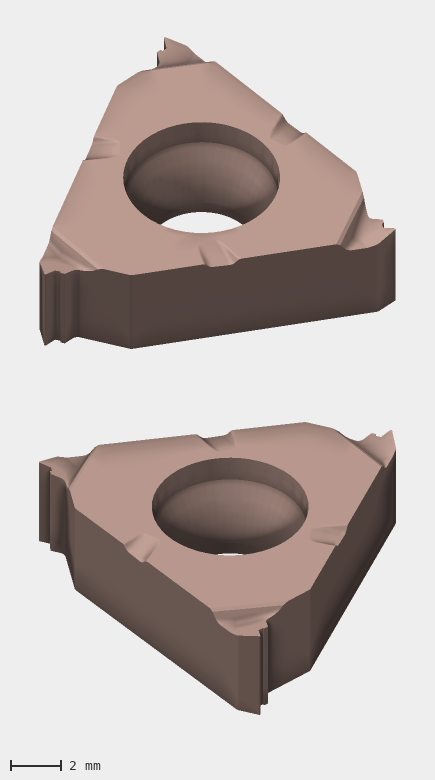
import cadquery as cq
import math

CORNERS = 3
CORNER_STEP = 360 / CORNERS
SIDE_TURN = 30.0
THICKNESS = 4.11
INSCRIBED_RADIUS = 4.76
CLEAR = 1.41

FLANK_ANGLE = 60.0
TIP = (-4.27, -6.95)
TIP_RADIUS = 0.049
VALLEY_Y = -6.48
CREST_Y = -6.56
CREST_START_X = -3.76
CREST_END_X = -3.56
RELIEF_Y = -6.05
CREST_RADIUS = 0.04
ROOT_RADIUS = 0.32
BODY_CORNER_RADIUS = 0.28

BORE_RADIUS = 4.4 / 2
MOUTH_RADIUS = 3.1
SHOULDER_RADIUS = 3.01
SHOULDER_DEPTH = 1.03
SEAT_RADIUS = 2.9
SEAT_DEPTH = 1.25
SEAT_END_DEPTH = 3.59

RAKE_ANGLE = 15.0
TIP_DEPTH = 0.13
EDGE_FLOOR_DEPTH = 0.46
EDGE_FLOOR_ANGLE = 7.4
WALL_DISTANCE = 6.25
WALL_LEAD_WIDTH = 0.14
WALL_LEAD_DEPTH = 0.08
WALL_ANGLE = 57.0
WALL_SKEW = 1.5
FLOOR_RADIUS = 0.28

NOTCH_ANGLE = 15.0
NOTCH_Y = 0.23
NOTCH_DEPTH = 0.24
NOTCH_LENGTH = 1.24
NOTCH_FLOOR_WIDTH = 0.89
NOTCH_WALL_ANGLE = 45.0
NOTCH_FLOOR_RADIUS = 0.32
RIM_RADIUS = 0.14


def turned(point, angle):
    """Point turned about the hole axis by an angle in degrees."""
    x, y = point
    c = math.cos(math.radians(angle))
    s = math.sin(math.radians(angle))
    return (x * c - y * s, x * s + y * c)


def body():
    flank_slope = math.tan(math.radians(FLANK_ANGLE))
    tip_x, tip_y = TIP
    side_corner = (-INSCRIBED_RADIUS, tip_y + (tip_x + INSCRIBED_RADIUS) * flank_slope)
    valley_start = (tip_x + (VALLEY_Y - tip_y) / flank_slope, VALLEY_Y)
    valley_end = (CREST_START_X, VALLEY_Y)
    crest_start = (CREST_START_X, CREST_Y)
    crest_end = (CREST_END_X, CREST_Y)
    root = (CREST_END_X + (RELIEF_Y - CREST_Y) / flank_slope, RELIEF_Y)
    turn = math.radians(SIDE_TURN)
    relief_end_x = (INSCRIBED_RADIUS + RELIEF_Y * math.cos(turn)) / math.sin(turn)
    relief_end = (relief_end_x, RELIEF_Y)

    corner = [side_corner, TIP, valley_start, valley_end, crest_start, crest_end, root, relief_end]
    outline = [turned(p, i * CORNER_STEP) for i in range(CORNERS) for p in corner]
    solid = cq.Workplane("XY").polyline(outline).close().extrude(THICKNESS)

    roundings = [
        (side_corner, BODY_CORNER_RADIUS),
        (TIP, TIP_RADIUS),
        (valley_start, CREST_RADIUS),
        (crest_start, CREST_RADIUS),
        (crest_end, CREST_RADIUS),
        (root, ROOT_RADIUS),
        (relief_end, BODY_CORNER_RADIUS),
    ]
    for point, radius in roundings:
        for i in range(CORNERS):
            x, y = turned(point, i * CORNER_STEP)
            edge = cq.selectors.NearestToPointSelector((x, y, THICKNESS / 2))
            solid = solid.edges("|Z").edges(edge).fillet(radius)
    return solid


def screw_hole():
    shoulder_z = THICKNESS - SHOULDER_DEPTH
    seat_z = THICKNESS - SEAT_DEPTH
    seat_end_z = THICKNESS - SEAT_END_DEPTH
    return (
        cq.Workplane("XZ")
        .moveTo(0, 0)
        .lineTo(BORE_RADIUS, 0)
        .lineTo(BORE_RADIUS, seat_end_z)
        .tangentArcPoint((SEAT_RADIUS, seat_z), relative=False)
        .tangentArcPoint((SHOULDER_RADIUS, shoulder_z), relative=False)
        .lineTo(MOUTH_RADIUS, THICKNESS)
        .lineTo(0, THICKNESS)
        .close()
        .revolve(360, (0, 0), (0, 1))
    )


def chip_pocket():
    """Space above the tooth face and the side floor, bounded by the pocket wall."""
    reach = INSCRIBED_RADIUS * 2
    rake = math.tan(math.radians(RAKE_ANGLE))
    tip_y = TIP[1]
    above_face = (
        cq.Workplane("YZ")
        .moveTo(-reach, -TIP_DEPTH + rake * (reach + tip_y))
        .lineTo(0, -TIP_DEPTH + rake * tip_y)
        .lineTo(0, reach)
        .lineTo(-reach, reach)
        .close()
        .extrude(reach, both=True)
    )
    tilt = math.tan(math.radians(EDGE_FLOOR_ANGLE))
    floor_drop = tilt * INSCRIBED_RADIUS
    outer_x = -INSCRIBED_RADIUS - CLEAR
    above_side_floor = (
        cq.Workplane("XZ")
        .moveTo(outer_x, -EDGE_FLOOR_DEPTH + tilt * CLEAR)
        .lineTo(0, -EDGE_FLOOR_DEPTH - floor_drop)
        .lineTo(0, CLEAR)
        .lineTo(outer_x, CLEAR)
        .close()
        .extrude(reach, both=True)
    )
    wall_foot = WALL_DISTANCE + WALL_LEAD_WIDTH
    wall_run = CLEAR / math.tan(math.radians(WALL_ANGLE))
    wall_bottom = -WALL_LEAD_DEPTH - CLEAR
    outside_wall = (
        cq.Workplane("XZ")
        .moveTo(WALL_DISTANCE, CLEAR)
        .lineTo(WALL_DISTANCE, 0)
        .lineTo(wall_foot, -WALL_LEAD_DEPTH)
        .lineTo(wall_foot + wall_run, wall_bottom)
        .lineTo(reach, wall_bottom)
        .lineTo(reach, CLEAR)
        .close()
        .extrude(reach, both=True)
        .rotate((0, 0, 0), (0, 0, 1), -CORNER_STEP - WALL_SKEW)
    )
    pocket = outside_wall.intersect(above_face).intersect(above_side_floor)
    pocket = pocket.vertices("<Z").ancestors("Edge").fillet(FLOOR_RADIUS)
    return pocket.translate((0, 0, THICKNESS))


def side_notch():
    slope = math.degrees(math.atan2(NOTCH_DEPTH, NOTCH_LENGTH))
    half_floor = NOTCH_FLOOR_WIDTH / 2
    half_top = half_floor + CLEAR / math.tan(math.radians(NOTCH_WALL_ANGLE))
    return (
        cq.Workplane("YZ")
        .polyline([(-half_floor, 0), (half_floor, 0), (half_top, CLEAR), (-half_top, CLEAR)])
        .close()
        .extrude(2 * NOTCH_LENGTH, both=True)
        .edges("|X and <Z")
        .fillet(NOTCH_FLOOR_RADIUS)
        .rotate((0, 0, 0), (0, 1, 0), -slope)
        .rotate((0, 0, 0), (0, 0, 1), NOTCH_ANGLE)
        .translate((-INSCRIBED_RADIUS, NOTCH_Y, THICKNESS - NOTCH_DEPTH))
    )


def with_notch(solid):
    """Solid with the left-hand notch cut and its rim on the top face rounded."""
    half_height = RIM_RADIUS / 10
    rim = cq.selectors.BoxSelector(
        (-INSCRIBED_RADIUS + half_height, NOTCH_Y - NOTCH_FLOOR_WIDTH, THICKNESS - half_height),
        (-INSCRIBED_RADIUS + NOTCH_LENGTH + CLEAR, NOTCH_Y + NOTCH_FLOOR_WIDTH, THICKNESS + half_height),
    )
    return solid.cut(side_notch()).edges(rim).fillet(RIM_RADIUS)


result = body().cut(screw_hole())
pocket = chip_pocket()
for _ in range(CORNERS):
    result = with_notch(result).cut(pocket).rotate((0, 0, 0), (0, 0, 1), CORNER_STEP)